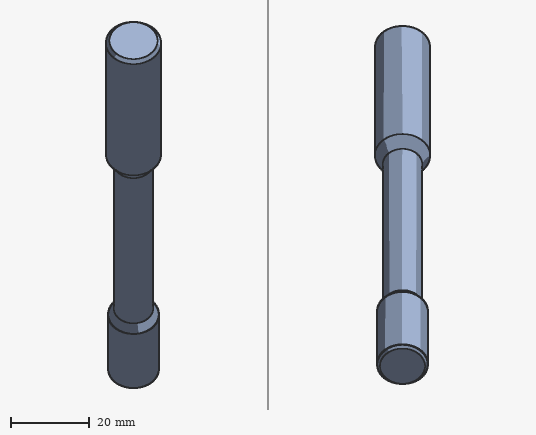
import cadquery as cq

total_length = 130.0
waist_diameter = 10.0

head_diameter = 14.0
head_chamfer = 0.9
head_cone_bottom = 81.8
head_cone_top = 85.3

collar_diameter = 13.0
seat_diameter = 12.7
collar_top = 22.1
foot_cone_top = 24.6
foot_chamfer = 0.8


def make_stud():
    """Waisted stud with a chamfered head and a coned, chamfered foot."""
    waist_radius = waist_diameter / 2
    head_radius = head_diameter / 2
    seat_radius = seat_diameter / 2
    foot_radius = collar_diameter / 2 - foot_chamfer
    seat_bottom = seat_radius - foot_radius
    profile = [
        (0, 0),
        (foot_radius, 0),
        (seat_radius, seat_bottom),
        (seat_radius, collar_top),
        (waist_radius, foot_cone_top),
        (waist_radius, head_cone_bottom),
        (head_radius, head_cone_top),
        (head_radius, total_length - head_chamfer),
        (head_radius - head_chamfer, total_length),
        (0, total_length),
    ]
    return cq.Workplane("XZ").polyline(profile).close().revolve(360, (0, 0), (0, 1))


def make_collar():
    """Thin sleeve around the foot, its lower rim continuing the foot chamfer."""
    outer_radius = collar_diameter / 2
    seat_radius = seat_diameter / 2
    wall = outer_radius - seat_radius
    profile = [
        (seat_radius, foot_chamfer - wall),
        (outer_radius, foot_chamfer),
        (outer_radius, collar_top),
        (seat_radius, collar_top),
    ]
    return cq.Workplane("XZ").polyline(profile).close().revolve(360, (0, 0), (0, 1))


stud = make_stud()
collar = make_collar()

result = cq.Compound.makeCompound([stud.val(), collar.val()])